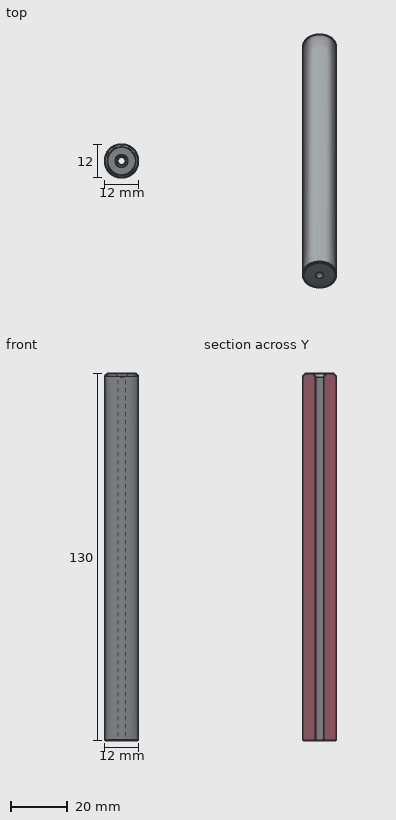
import math

import cadquery as cq

rod_length = 130.0
rod_diameter = 12.0
top_chamfer = 1.0
bottom_chamfer = 0.4
bore_diameter = 2.7
countersink_diameter = 4.4
countersink_angle = 60.0

rod_radius = rod_diameter / 2
bore_radius = bore_diameter / 2
countersink_radius = countersink_diameter / 2
countersink_depth = (countersink_radius - bore_radius) / math.tan(math.radians(countersink_angle / 2))
top = rod_length / 2
bottom = -top

half_section = (
    cq.Workplane("XZ")
    .moveTo(bore_radius, bottom)
    .lineTo(rod_radius - bottom_chamfer, bottom)
    .lineTo(rod_radius, bottom + bottom_chamfer)
    .lineTo(rod_radius, top - top_chamfer)
    .lineTo(rod_radius - top_chamfer, top)
    .lineTo(countersink_radius, top)
    .lineTo(bore_radius, top - countersink_depth)
    .close()
)

result = half_section.revolve(360, (0, 0, 0), (0, 1, 0))